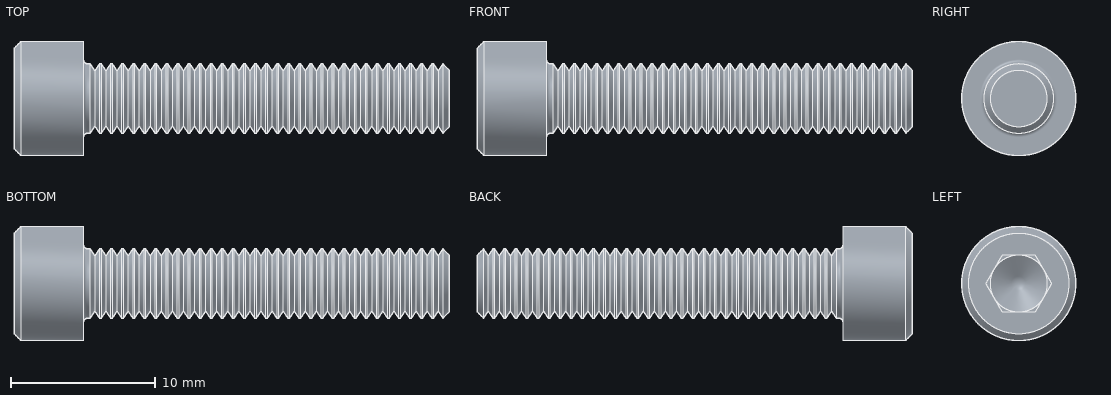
import cadquery as cq
import math

total_length = 30.23
head_diameter = 7.95
head_height = 4.85
head_chamfer = 0.48
neck_fillet = 0.27

thread_diameter = 4.85
groove_start = 5.3
groove_count = 32
groove_depth = 0.48
crest_width = 0.12
end_chamfer = 0.45

socket_across_flats = 3.95
socket_depth = 2.3
socket_cone_angle = 120.0

head_radius = head_diameter / 2
thread_radius = thread_diameter / 2
root_radius = thread_radius - groove_depth

grooved_length = total_length - end_chamfer - groove_start
groove_pitch = (grooved_length + crest_width) / groove_count
groove_width = groove_pitch - crest_width


def turned_body():
    """Head, fillet and grooved shank, turned about the X axis."""
    profile = (
        cq.Workplane("XZ")
        .moveTo(0, 0)
        .lineTo(0, head_radius - head_chamfer)
        .lineTo(head_chamfer, head_radius)
        .lineTo(head_height, head_radius)
        .lineTo(head_height, thread_radius + neck_fillet)
        .radiusArc((head_height + neck_fillet, thread_radius), -neck_fillet)
    )
    for index in range(groove_count):
        start = groove_start + index * groove_pitch
        profile = (
            profile.lineTo(start, thread_radius)
            .lineTo(start + groove_width / 2, root_radius)
            .lineTo(start + groove_width, thread_radius)
        )
    profile = profile.lineTo(total_length, thread_radius - end_chamfer).lineTo(total_length, 0).close()
    return profile.revolve(360, (0, 0, 0), (1, 0, 0))


def hex_socket():
    """Hexagonal prism with corners toward +Y and -Y, ending in a cone."""
    across_corners = socket_across_flats / math.cos(math.radians(30))
    hexagon = cq.Workplane("YZ").polygon(6, across_corners).extrude(socket_depth)

    cone_radius = socket_across_flats / 2
    cone_length = cone_radius / math.tan(math.radians(socket_cone_angle / 2))
    cone_base = cq.Vector(socket_depth, 0, 0)
    cone = cq.Solid.makeCone(cone_radius, 0, cone_length, pnt=cone_base, dir=cq.Vector(1, 0, 0))
    return hexagon.union(cq.Workplane(obj=cone))


result = turned_body().cut(hex_socket())